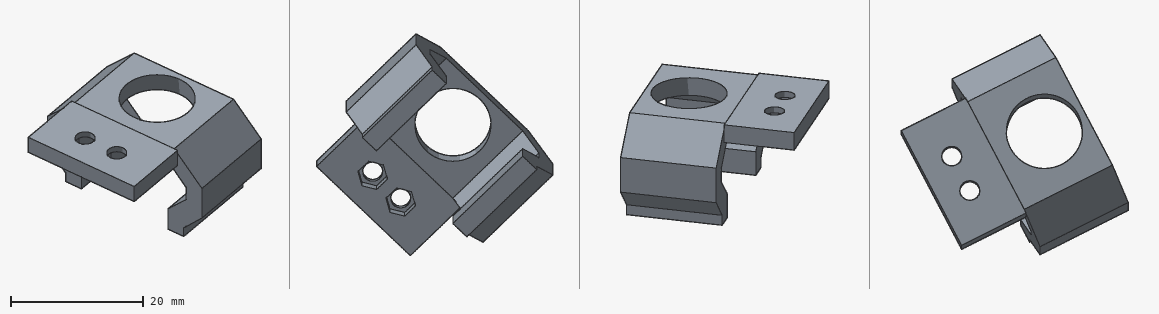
import cadquery as cq
import math

clip_width = 29.2
clip_height = 16.15
clip_length = 15.0
wall = 3.0
top_thickness = 2.92
roof_half = 9.37
shoulder_drop = 5.2
side_height = 5.72
foot_height = 1.65
foot_inset = 3.45
inner_side_height = 2.35
inner_foot_height = 3.9
lens_diameter = 11.5
lens_from_back = 6.77

plate_width = 20.0
plate_length = 10.98
plate_thickness = 2.92
screw_diameter = 3.0
screw_spacing = 6.0
screw_from_front = 5.0
nut_across_flats = 4.0
nut_pocket_depth = 1.93

half_width = clip_width / 2
inner_half = half_width - wall
foot_outer = half_width - foot_inset
foot_inner = foot_outer - wall
shoulder_z = clip_height - shoulder_drop
side_bottom_z = shoulder_z - side_height
ceiling_z = clip_height - top_thickness
inner_rise = inner_half - foot_inner
inner_bottom_z = inner_foot_height + inner_rise
inner_top_z = inner_bottom_z + inner_side_height


def make_clip():
    """C-shaped strip with the large round opening through its roof."""
    right_side = [
        (roof_half, clip_height),
        (half_width, shoulder_z),
        (half_width, side_bottom_z),
        (foot_outer, foot_height),
        (foot_outer, 0),
        (foot_inner, 0),
        (foot_inner, inner_foot_height),
        (inner_half, inner_bottom_z),
        (inner_half, inner_top_z),
        (foot_inner, ceiling_z),
    ]
    left_side = [(-x, z) for x, z in reversed(right_side)]
    strip = cq.Workplane("XZ").polyline(right_side + left_side).close().extrude(-clip_length)
    opening = (
        cq.Workplane("XY", origin=(0, clip_length - lens_from_back, ceiling_z))
        .circle(lens_diameter / 2)
        .extrude(top_thickness)
    )
    return strip.cut(opening)


def make_plate():
    """Flat tab, flush with the roof, with two screw holes and hexagonal nut pockets below them."""
    plate_bottom_z = clip_height - plate_thickness
    tab = cq.Workplane("XY").box(
        plate_width, plate_length, plate_thickness, centered=(True, False, False)
    ).translate((0, -plate_length, plate_bottom_z))
    hole_y = screw_from_front - plate_length
    nut_across_corners = nut_across_flats / math.cos(math.radians(30))
    for hole_x in (-screw_spacing / 2, screw_spacing / 2):
        underside = cq.Workplane("XY", origin=(hole_x, hole_y, plate_bottom_z))
        hole = underside.circle(screw_diameter / 2).extrude(plate_thickness)
        pocket = (
            underside.transformed(rotate=(0, 0, 30))
            .polygon(6, nut_across_corners)
            .extrude(nut_pocket_depth)
        )
        tab = tab.cut(hole).cut(pocket)
    return tab


clip = make_clip()
plate = make_plate()
result = cq.Compound.makeCompound([clip.val(), plate.val()])